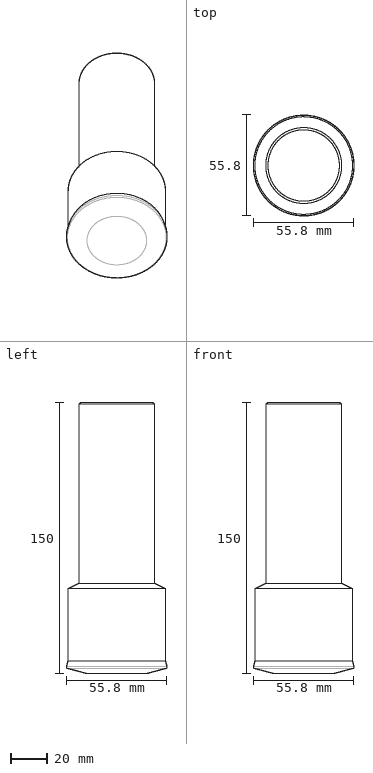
import cadquery as cq
import math

total_length = 150.0
cutting_diameter = 55.81

shank_radius = 21.0
shank_length = 100.0
shank_chamfer_width = 1.25
shank_chamfer_height = 1.0
neck_radius = 27.0
shoulder_height = 3.0

lead_angle = math.radians(15)
flank_angle = math.radians(15)
corner_radius = 0.8
face_flat_radius = 16.5

corner_center_r = cutting_diameter / 2 - corner_radius
face_tangent_r = corner_center_r + corner_radius * math.sin(lead_angle)
face_tangent_z = (face_tangent_r - face_flat_radius) * math.tan(lead_angle)
corner_center_z = face_tangent_z + corner_radius * math.cos(lead_angle)
flank_tangent_r = corner_center_r + corner_radius * math.cos(flank_angle)
flank_tangent_z = corner_center_z + corner_radius * math.sin(flank_angle)

head_height = flank_tangent_z + (flank_tangent_r - neck_radius) / math.tan(flank_angle)


def revolve_profile(profile):
    """Turn a closed half-profile, drawn as (radius, height), about the Z axis."""
    return profile.close().revolve(360, (0, 0, 0), (0, 1, 0))


def make_cutting_head():
    """Solid head from the flat end face up to the neck."""
    profile = (
        cq.Workplane("XZ")
        .moveTo(0, 0)
        .lineTo(face_flat_radius, 0)
        .lineTo(face_tangent_r, face_tangent_z)
        .threePointArc(
            (cutting_diameter / 2, corner_center_z),
            (flank_tangent_r, flank_tangent_z),
        )
        .lineTo(neck_radius, head_height)
        .lineTo(0, head_height)
    )
    return revolve_profile(profile)


def make_holder():
    """Neck, conical shoulder and shank with a chamfered top edge."""
    shank_start = total_length - shank_length
    profile = (
        cq.Workplane("XZ")
        .moveTo(0, head_height)
        .lineTo(neck_radius, head_height)
        .lineTo(neck_radius, shank_start - shoulder_height)
        .lineTo(shank_radius, shank_start)
        .lineTo(shank_radius, total_length - shank_chamfer_height)
        .lineTo(shank_radius - shank_chamfer_width, total_length)
        .lineTo(0, total_length)
    )
    return revolve_profile(profile)


cutting_head = make_cutting_head()
holder = make_holder()

result = cq.Compound.makeCompound([cutting_head.val(), holder.val()])